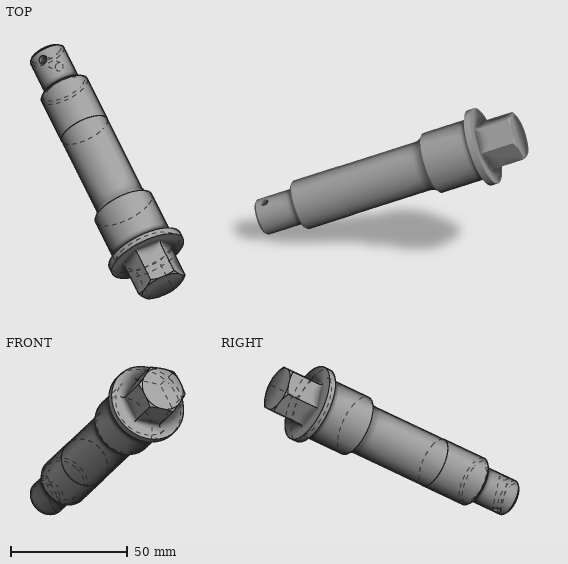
import cadquery as cq
import math

heading = 26.6
elevation = 22.9
roll = 108.0

tip_dia = 16.0
shank_dia = 22.0
relief_dia = 21.8
collar_dia = 27.0
flange_dia = 34.0

hole_pos = 5.0
shoulder_pos = 17.9
relief_pos = 39.8
collar_pos = 80.6
flange_pos = 102.5
head_pos = 105.6
total_length = 121.2

tip_chamfer = 1.0
shank_chamfer = 1.0
corner_fillet = 0.5
neck_radius = 6.0

hex_flats = 19.0
hex_base_fillet = 1.0
hex_chamfer_angle = 30.0
hex_face_dia = 19.2
hole_dia = 3.7


def axis_plane():
    """Plane through the tip face: normal along the pin, x direction level."""
    turn = math.radians(heading)
    climb = math.radians(elevation)
    normal = (math.sin(turn) * math.cos(climb), -math.cos(turn) * math.cos(climb), math.sin(climb))
    level = (math.cos(turn), math.sin(turn), 0)
    return cq.Plane(origin=(0, 0, 0), xDir=level, normal=normal)


def turned_body():
    """Revolved tip, shank, collar and flange; the profile is (radius, position)."""
    tip_r = tip_dia / 2
    shank_r = shank_dia / 2
    relief_r = relief_dia / 2
    collar_r = collar_dia / 2
    flange_r = flange_dia / 2

    neck_rise = collar_r - relief_r
    neck_angle = math.acos(1 - neck_rise / neck_radius)
    neck_start = collar_pos - neck_radius * math.sin(neck_angle)
    neck_mid = (
        relief_r + neck_radius * (1 - math.cos(neck_angle / 2)),
        neck_start + neck_radius * math.sin(neck_angle / 2),
    )
    fillet_mid = corner_fillet * (1 - math.sqrt(0.5))

    profile = (
        cq.Workplane("XZ")
        .lineTo(tip_r - tip_chamfer, 0)
        .lineTo(tip_r, tip_chamfer)
        .lineTo(tip_r, shoulder_pos - corner_fillet)
        .threePointArc(
            (tip_r + fillet_mid, shoulder_pos - fillet_mid),
            (tip_r + corner_fillet, shoulder_pos),
        )
        .lineTo(shank_r - shank_chamfer, shoulder_pos)
        .lineTo(shank_r, shoulder_pos + shank_chamfer)
        .lineTo(shank_r, relief_pos)
        .lineTo(relief_r, relief_pos)
        .lineTo(relief_r, neck_start)
        .threePointArc(neck_mid, (collar_r, collar_pos))
        .lineTo(collar_r, flange_pos - corner_fillet)
        .threePointArc(
            (collar_r + fillet_mid, flange_pos - fillet_mid),
            (collar_r + corner_fillet, flange_pos),
        )
        .lineTo(flange_r, flange_pos)
        .lineTo(flange_r, head_pos)
        .lineTo(0, head_pos)
        .close()
    )
    return profile.revolve(360, (0, 0, 0), (0, 1, 0))


def hex_prism():
    """Hexagonal head with its end corners turned to a cone."""
    hex_corners = hex_flats / math.cos(math.radians(30))
    prism = (
        cq.Workplane("XY", origin=(0, 0, head_pos))
        .polygon(6, hex_corners)
        .extrude(total_length - head_pos)
    )
    face_r = hex_face_dia / 2
    cone_height = total_length - head_pos
    base_r = face_r + cone_height / math.tan(math.radians(hex_chamfer_angle))
    cone = cq.Workplane("XY").add(
        cq.Solid.makeCone(base_r, face_r, cone_height, cq.Vector(0, 0, head_pos))
    )
    return prism.intersect(cone)


def cross_hole():
    """Through hole across the tip, aligned with a pair of hex corners."""
    return (
        cq.Workplane("YZ", origin=(0, 0, hole_pos))
        .circle(hole_dia / 2)
        .extrude(tip_dia, both=True)
    )


def fillet_hex_base(body):
    """Fillet the six edges where the hex meets the flange."""
    reach = hex_flats / 2
    margin = 0.1
    base_box = cq.selectors.BoxSelector(
        (-reach - margin, -reach - margin, head_pos - margin),
        (reach + margin, reach + margin, head_pos + margin),
    )
    return body.edges(base_box).edges("%LINE").fillet(hex_base_fillet)


pin = fillet_hex_base(turned_body().union(hex_prism())).cut(cross_hole())
pin = pin.rotate((0, 0, 0), (0, 0, 1), roll)
result = cq.Workplane("XY").add(pin.val().moved(cq.Location(axis_plane())))